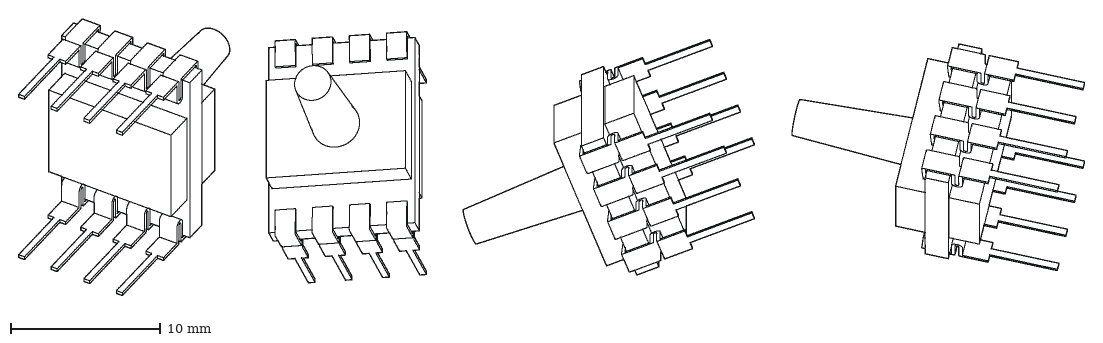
import cadquery as cq

PLATE_WIDTH = 10.0
PLATE_THICKNESS = 1.6
PLATE_HEIGHT = 13.3

HOUSING_WIDTH = 9.53
HOUSING_DEPTH = 5.78
HOUSING_HEIGHT = 7.0
NOZZLE_LENGTH = 7.96
NOZZLE_BASE_DIAMETER = 3.27
NOZZLE_TIP_DIAMETER = 2.49

LEADS_PER_ROW = 4
LEAD_PITCH = 2.54
LEAD_WIDTH = 1.38
LEAD_THICKNESS = 0.25
ROW_HEIGHT = 14.0
PIN_WIDTH = 0.46
PIN_END_Y = -8.09
PIN_SHOULDER_Y = -3.43

EDGE_GAP = 0.1
REAR_ARM_LENGTH = 1.86
REAR_ARM_LEAN = EDGE_GAP
LOOP_DEPTH = 1.95
LOOP_INNER_RADIUS = 0.125
BEND_RADIUS = 0.1


def make_plate():
    """Flat plate with a window that fits the housing."""
    plate = cq.Workplane("XY").box(PLATE_WIDTH, PLATE_THICKNESS, PLATE_HEIGHT)
    window = cq.Workplane("XY").box(HOUSING_WIDTH, PLATE_THICKNESS, HOUSING_HEIGHT)
    return plate.cut(window)


def make_housing():
    """Block standing out on both sides of the plate, with the nozzle on its rear face."""
    block = cq.Workplane("XY").box(HOUSING_WIDTH, HOUSING_DEPTH, HOUSING_HEIGHT)
    base_y = HOUSING_DEPTH / 2
    tip_y = base_y + NOZZLE_LENGTH
    nozzle = (
        cq.Workplane("YZ")
        .moveTo(base_y, 0)
        .lineTo(base_y, NOZZLE_BASE_DIAMETER / 2)
        .lineTo(tip_y, NOZZLE_TIP_DIAMETER / 2)
        .lineTo(tip_y, 0)
        .close()
        .revolve(360, (0, 0, 0), (1, 0, 0))
    )
    return block.union(nozzle)


def make_top_lead():
    """Lead for the top row at X = 0: rear arm, bridge over the plate edge, U loop and pin."""
    top_z = ROW_HEIGHT / 2
    under_z = top_z - LEAD_THICKNESS
    arm_tip_z = top_z - REAR_ARM_LENGTH
    arm_inner_y = PLATE_THICKNESS / 2 + EDGE_GAP
    arm_outer_y = arm_inner_y + LEAD_THICKNESS

    loop_outer_radius = LOOP_INNER_RADIUS + LEAD_THICKNESS
    loop_bottom_z = top_z - LOOP_DEPTH
    loop_center_z = loop_bottom_z + loop_outer_radius
    loop_rear_y = -PLATE_THICKNESS / 2 - EDGE_GAP
    loop_center_y = loop_rear_y - loop_outer_radius
    loop_front_y = loop_center_y - loop_outer_radius
    slot_rear_y = loop_center_y + LOOP_INNER_RADIUS
    slot_front_y = loop_center_y - LOOP_INNER_RADIUS

    profile = (
        cq.Workplane("YZ")
        .moveTo(arm_outer_y - BEND_RADIUS, top_z)
        .lineTo(slot_rear_y + BEND_RADIUS, top_z)
        .radiusArc((slot_rear_y, top_z - BEND_RADIUS), -BEND_RADIUS)
        .lineTo(slot_rear_y, loop_center_z)
        .threePointArc((loop_center_y, loop_center_z - LOOP_INNER_RADIUS), (slot_front_y, loop_center_z))
        .lineTo(slot_front_y, top_z - BEND_RADIUS)
        .radiusArc((slot_front_y - BEND_RADIUS, top_z), -BEND_RADIUS)
        .lineTo(PIN_END_Y, top_z)
        .lineTo(PIN_END_Y, under_z)
        .lineTo(loop_front_y, under_z)
        .lineTo(loop_front_y, loop_center_z)
        .threePointArc((loop_center_y, loop_bottom_z), (loop_rear_y, loop_center_z))
        .lineTo(loop_rear_y, under_z)
        .lineTo(arm_inner_y, under_z)
        .lineTo(arm_inner_y - REAR_ARM_LEAN, arm_tip_z)
        .lineTo(arm_outer_y - REAR_ARM_LEAN, arm_tip_z)
        .lineTo(arm_outer_y, top_z - BEND_RADIUS)
        .radiusArc((arm_outer_y - BEND_RADIUS, top_z), -BEND_RADIUS)
        .close()
    )
    strip = profile.extrude(LEAD_WIDTH / 2, both=True)

    pin_length = PIN_SHOULDER_Y - PIN_END_Y
    side_width = (LEAD_WIDTH - PIN_WIDTH) / 2
    side_x = (LEAD_WIDTH + PIN_WIDTH) / 4
    sides = (
        cq.Workplane("XY", origin=(0, PIN_END_Y + pin_length / 2, top_z - LEAD_THICKNESS / 2))
        .pushPoints([(-side_x, 0), (side_x, 0)])
        .box(side_width, pin_length, LEAD_THICKNESS)
    )
    return strip.cut(sides)


def make_leads():
    """Both rows of leads; the bottom row mirrors the top row."""
    top_lead = make_top_lead()
    bottom_lead = top_lead.mirror("XY")
    first_x = -LEAD_PITCH * (LEADS_PER_ROW - 1) / 2
    leads = []
    for index in range(LEADS_PER_ROW):
        offset = (first_x + index * LEAD_PITCH, 0, 0)
        leads.append(top_lead.translate(offset).val())
        leads.append(bottom_lead.translate(offset).val())
    return leads


plate = make_plate()
housing = make_housing()
leads = make_leads()
result = cq.Compound.makeCompound([plate.val(), housing.val(), *leads])